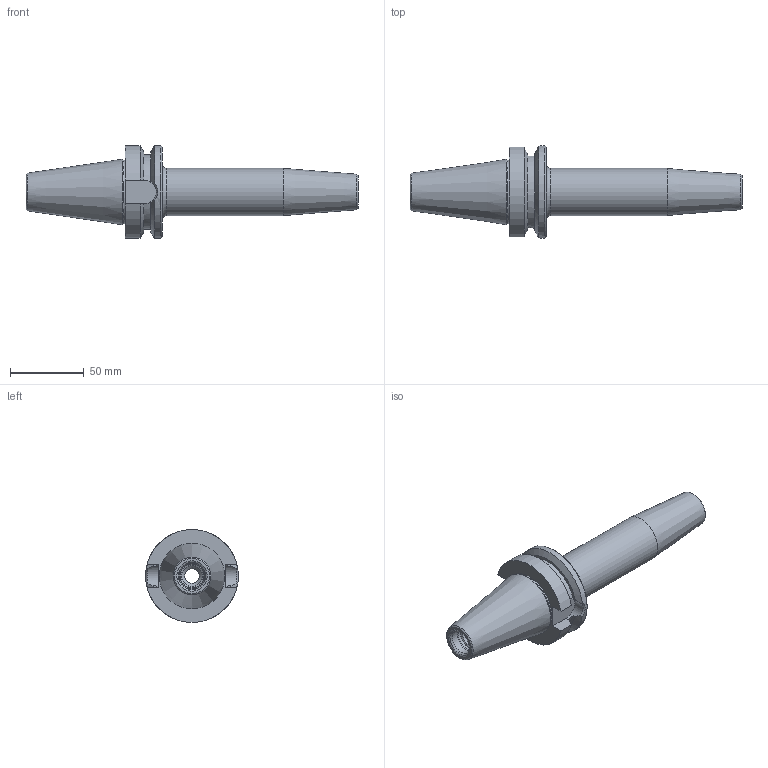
import cadquery as cq
import math



def cone_length(large_radius, small_radius, half_angle):
    return (large_radius - small_radius) / math.tan(math.radians(half_angle))


TAPER_RATIO = 7 / 24
GAUGE_RADIUS = 44.45 / 2
TAPER_LENGTH = 65.4
TAPER_END_RADIUS = GAUGE_RADIUS - TAPER_LENGTH * TAPER_RATIO / 2
TAPER_END_CHAMFER = 0.7
RELIEF_RADIUS = 21.7
RELIEF_START = 1.0

FLANGE_RADIUS = 63 / 2
FLANGE_FRONT = 2.0
FLANGE_BACK = 27.0
FLANGE_CHAMFER = 1.0
GROOVE_RADIUS = 25.5
GROOVE_CENTER = 16.95
GROOVE_FLOOR_WIDTH = 5.0
GROOVE_MOUTH_WIDTH = 9.9
GROOVE_FLANK_ANGLE = 30
GROOVE_FLANK_WIDTH = (GROOVE_MOUTH_WIDTH - GROOVE_FLOOR_WIDTH) / 2
GROOVE_FLANK_DEPTH = GROOVE_FLANK_WIDTH / math.tan(math.radians(GROOVE_FLANK_ANGLE))
GROOVE_STEP_RADIUS = FLANGE_RADIUS - GROOVE_FLANK_DEPTH

SLOT_WIDTH = 16.1
SLOT_FLOOR = 22.5
SLOT_END = 23.1
SLOT_END_CHAMFER = 1.0

TOTAL_LENGTH = 225.4
NOSE_END = TOTAL_LENGTH - TAPER_LENGTH
BODY_RADIUS = 16.0
NOSE_RADIUS = 12.0
NOSE_ANGLE = 4.5
NOSE_LENGTH = cone_length(BODY_RADIUS, NOSE_RADIUS, NOSE_ANGLE)
NOSE_CHAMFER = 1.0
COLLAR_FILLET = 3.0

MOUTH_RADIUS = 10.3
MOUTH_CONE_ANGLE = 60
CENTER_CONE_RADIUS = 9.35
CENTER_CONE_ANGLE = 30
PILOT_RADIUS = 17 / 2
PILOT_DEPTH = 6.5
NECK_RADIUS = 8.2
NECK_START = 7.4
NECK_DEPTH = 9.3
THREAD_CHAMFER_RADIUS = 7.9
THREAD_CHAMFER_ANGLE = 60
THREAD_RADIUS = 13.8 / 2
THREAD_DEPTH = 30.0
DRILL_TIP_ANGLE = 45
THROUGH_RADIUS = 5.0


def make_body():
    taper_end = -TAPER_LENGTH
    chamfer_start = taper_end + TAPER_END_CHAMFER
    chamfer_radius = TAPER_END_RADIUS + TAPER_END_CHAMFER * TAPER_RATIO / 2
    floor_half = GROOVE_FLOOR_WIDTH / 2
    mouth_half = GROOVE_MOUTH_WIDTH / 2
    nose_chamfer_radius = NOSE_RADIUS + NOSE_CHAMFER * math.tan(math.radians(NOSE_ANGLE))
    return (
        cq.Workplane("XZ")
        .moveTo(taper_end, 0)
        .lineTo(taper_end, TAPER_END_RADIUS - TAPER_END_CHAMFER)
        .lineTo(chamfer_start, chamfer_radius)
        .lineTo(0, GAUGE_RADIUS)
        .lineTo(RELIEF_START, RELIEF_RADIUS)
        .lineTo(FLANGE_FRONT, RELIEF_RADIUS)
        .lineTo(FLANGE_FRONT, FLANGE_RADIUS)
        .lineTo(GROOVE_CENTER - mouth_half, FLANGE_RADIUS)
        .lineTo(GROOVE_CENTER - floor_half, GROOVE_STEP_RADIUS)
        .lineTo(GROOVE_CENTER - floor_half, GROOVE_RADIUS)
        .lineTo(GROOVE_CENTER + floor_half, GROOVE_RADIUS)
        .lineTo(GROOVE_CENTER + floor_half, GROOVE_STEP_RADIUS)
        .lineTo(GROOVE_CENTER + mouth_half, FLANGE_RADIUS)
        .lineTo(FLANGE_BACK - FLANGE_CHAMFER, FLANGE_RADIUS)
        .lineTo(FLANGE_BACK, FLANGE_RADIUS - FLANGE_CHAMFER)
        .lineTo(FLANGE_BACK, BODY_RADIUS + COLLAR_FILLET)
        .radiusArc((FLANGE_BACK + COLLAR_FILLET, BODY_RADIUS), -COLLAR_FILLET)
        .lineTo(NOSE_END - NOSE_LENGTH, BODY_RADIUS)
        .lineTo(NOSE_END - NOSE_CHAMFER, nose_chamfer_radius)
        .lineTo(NOSE_END, NOSE_RADIUS - NOSE_CHAMFER)
        .lineTo(NOSE_END, 0)
        .close()
        .revolve(360, (0, 0, 0), (1, 0, 0))
    )


def make_bore():
    mouth = -TAPER_LENGTH
    center_start = mouth + cone_length(MOUTH_RADIUS, CENTER_CONE_RADIUS, MOUTH_CONE_ANGLE)
    pilot_start = center_start + cone_length(CENTER_CONE_RADIUS, PILOT_RADIUS, CENTER_CONE_ANGLE)
    neck_end = mouth + NECK_DEPTH
    thread_start = neck_end + cone_length(THREAD_CHAMFER_RADIUS, THREAD_RADIUS, THREAD_CHAMFER_ANGLE)
    thread_end = mouth + THREAD_DEPTH
    drill_tip = thread_end + cone_length(THREAD_RADIUS, THROUGH_RADIUS, DRILL_TIP_ANGLE)
    return (
        cq.Workplane("XZ")
        .moveTo(mouth, 0)
        .lineTo(mouth, MOUTH_RADIUS)
        .lineTo(center_start, CENTER_CONE_RADIUS)
        .lineTo(pilot_start, PILOT_RADIUS)
        .lineTo(mouth + PILOT_DEPTH, PILOT_RADIUS)
        .lineTo(mouth + NECK_START, NECK_RADIUS)
        .lineTo(neck_end, NECK_RADIUS)
        .lineTo(neck_end, THREAD_CHAMFER_RADIUS)
        .lineTo(thread_start, THREAD_RADIUS)
        .lineTo(thread_end, THREAD_RADIUS)
        .lineTo(drill_tip, THROUGH_RADIUS)
        .lineTo(NOSE_END, THROUGH_RADIUS)
        .lineTo(NOSE_END, 0)
        .close()
        .revolve(360, (0, 0, 0), (1, 0, 0))
    )


def make_drive_slot(side):
    half_width = SLOT_WIDTH / 2
    arc_center = SLOT_END - half_width
    return (
        cq.Workplane("XZ", origin=(0, side * SLOT_FLOOR, 0))
        .moveTo(0, -half_width)
        .lineTo(arc_center, -half_width)
        .threePointArc((SLOT_END, 0), (arc_center, half_width))
        .lineTo(0, half_width)
        .close()
        .extrude(-side * (FLANGE_RADIUS - SLOT_FLOOR))
    )


def slot_end_edge(side):
    size = SLOT_END_CHAMFER
    return cq.selectors.BoxSelector(
        (SLOT_END - size, side * (FLANGE_RADIUS - size), -size),
        (SLOT_END + size, side * (FLANGE_RADIUS + size), size),
    )


result = make_body().cut(make_bore())
for side in (-1, 1):
    result = result.cut(make_drive_slot(side))
    result = result.edges(slot_end_edge(side)).chamfer(SLOT_END_CHAMFER)